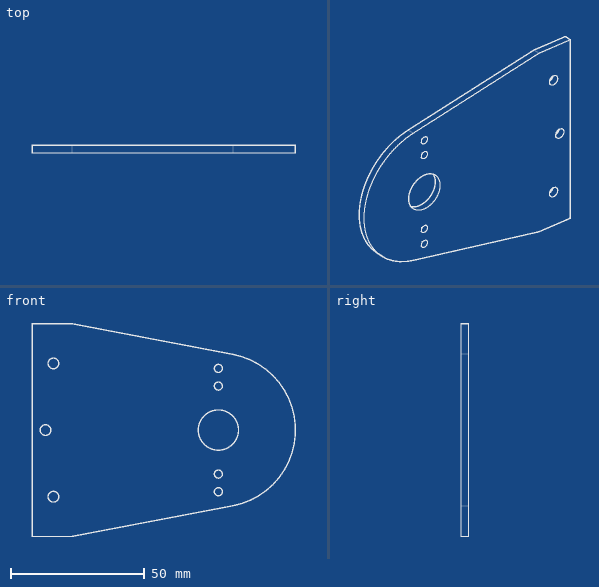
import cadquery as cq
import math

length = 99.0
height = 80.0
thickness = 3.0
straight_length = 15.0

bore_x = 70.0
nose_radius = length - bore_x
bore_diameter = 15.0

small_hole_diameter = 3.0
small_hole_offsets = (16.5, 23.2)

mount_hole_diameter = 4.0
middle_mount_x = 5.0
outer_mount_x = 8.0
outer_mount_z = 25.0


def nose_tangent_point():
    """Point where the upper sloping edge runs tangentially into the nose."""
    run = straight_length - bore_x
    rise = height / 2
    distance = math.hypot(run, rise)
    angle = math.atan2(rise, run) - math.acos(nose_radius / distance)
    return bore_x + nose_radius * math.cos(angle), nose_radius * math.sin(angle)


def make_plate():
    tangent_x, tangent_z = nose_tangent_point()
    return (
        cq.Workplane("XZ")
        .moveTo(0, -height / 2)
        .lineTo(straight_length, -height / 2)
        .lineTo(tangent_x, -tangent_z)
        .threePointArc((length, 0), (tangent_x, tangent_z))
        .lineTo(straight_length, height / 2)
        .lineTo(0, height / 2)
        .close()
        .extrude(thickness)
    )


def drill(points, diameter):
    """Cylinders through the plate thickness at the given (X, Z) points."""
    return cq.Workplane("XZ").pushPoints(points).circle(diameter / 2).extrude(thickness)


small_holes = [(bore_x, side * offset) for offset in small_hole_offsets for side in (-1, 1)]
mount_holes = [
    (middle_mount_x, 0),
    (outer_mount_x, -outer_mount_z),
    (outer_mount_x, outer_mount_z),
]

result = (
    make_plate()
    .cut(drill([(bore_x, 0)], bore_diameter))
    .cut(drill(small_holes, small_hole_diameter))
    .cut(drill(mount_holes, mount_hole_diameter))
)